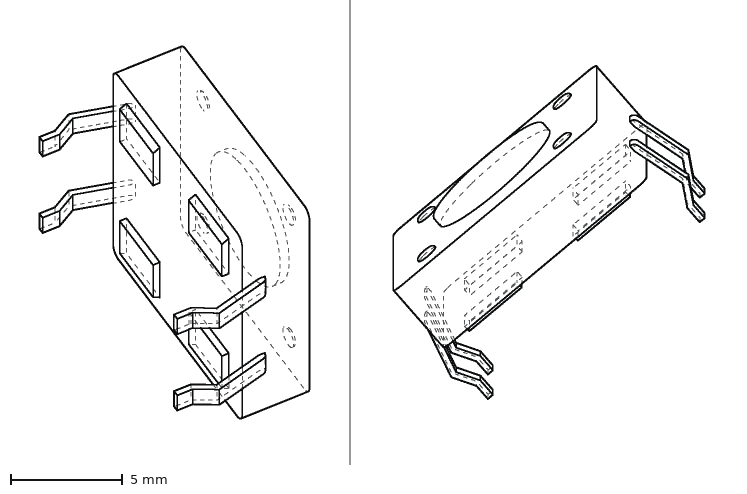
import cadquery as cq
import math


HOUSING_SIDE = 12.0
HOUSING_DEPTH = 3.45
CORNER_RADIUS = 0.5
HALF_SIDE = HOUSING_SIDE / 2

PAD_WIDTH = 3.1
PAD_HEIGHT = 2.3
PAD_THICKNESS = 0.35
PAD_SLOPE_RUN = 0.2
PAD_CENTER_X = 3.2
PAD_INNER_Z = 2.6
PAD_OUTER_Z = PAD_INNER_Z + PAD_HEIGHT

RIVET_SPACING = 8.0
RIVET_DIAMETER = 1.0
RIVET_HEIGHT = 0.15

BUTTON_DIAMETER = 6.5
BUTTON_HEIGHT = 0.5
BUTTON_EDGE_RADIUS = 0.1

LEG_THICKNESS = 0.3
LEG_WIDTH = 1.0
LEG_SPACING_Z = 5.0
LEG_SPAN_X = 14.0
LEG_TIP_SPACING_X = 12.5
LEG_END_Y = -3.55
LEG_ROOT_Y = 0.85
UPPER_TILT = math.radians(15)
LOWER_TILT = math.radians(-30)
TIP_TILT = 0.0


def make_pad(side_x):
    """Pad in the +Z half whose outer edge slopes in towards its front face."""
    profile = [
        (0, PAD_INNER_Z),
        (-PAD_THICKNESS, PAD_INNER_Z),
        (-PAD_THICKNESS, PAD_OUTER_Z - PAD_SLOPE_RUN),
        (0, PAD_OUTER_Z),
    ]
    return (
        cq.Workplane("YZ", origin=(side_x * PAD_CENTER_X, 0, 0))
        .polyline(profile)
        .close()
        .extrude(PAD_WIDTH / 2, both=True)
    )


def make_rivet(center_x, center_z):
    """Rivet head with a flat top and a full-height rounded edge, turned about the Y direction."""
    top_radius = RIVET_DIAMETER / 2 - RIVET_HEIGHT
    edge_middle = (
        top_radius + RIVET_HEIGHT * math.cos(math.pi / 4),
        RIVET_HEIGHT * math.sin(math.pi / 4),
    )
    return (
        cq.Workplane("XY", origin=(center_x, HOUSING_DEPTH, center_z))
        .lineTo(RIVET_DIAMETER / 2, 0)
        .threePointArc(edge_middle, (top_radius, RIVET_HEIGHT))
        .lineTo(0, RIVET_HEIGHT)
        .close()
        .revolve(360, (0, 0), (0, 1))
    )


def make_housing():
    """Rounded square block with its pads and rivet heads."""
    housing = (
        cq.Workplane("XZ")
        .rect(HOUSING_SIDE, HOUSING_SIDE)
        .extrude(-HOUSING_DEPTH)
        .edges("|Y")
        .fillet(CORNER_RADIUS)
    )
    for side_x in (-1, 1):
        pad = make_pad(side_x)
        housing = housing.union(pad).union(pad.mirror("XY"))
        for side_z in (-1, 1):
            rivet = make_rivet(side_x * RIVET_SPACING / 2, side_z * RIVET_SPACING / 2)
            housing = housing.union(rivet)
    return housing


def make_button():
    """Low round button with a softened rim, standing on the housing."""
    return (
        cq.Workplane("XZ", origin=(0, HOUSING_DEPTH, 0))
        .circle(BUTTON_DIAMETER / 2)
        .extrude(-BUTTON_HEIGHT)
        .faces(">Y")
        .edges()
        .fillet(BUTTON_EDGE_RADIUS)
    )


def inner_corner(outer, tilt_before, tilt_after):
    """Inside corner of a bend, one sheet thickness in from its outside corner."""
    direction = (tilt_before + tilt_after) / 2
    reach = LEG_THICKNESS / math.cos((tilt_before - tilt_after) / 2)
    return (outer[0] - reach * math.cos(direction), outer[1] - reach * math.sin(direction))


def around_root(angle):
    """Point of the rounded outer shoulder, which is centred on the leg root at the housing wall."""
    return (HALF_SIDE + LEG_THICKNESS * math.cos(angle), LEG_ROOT_Y + LEG_THICKNESS * math.sin(angle))


def make_leg(center_z):
    """Leg on the +X side: a shoulder, an outward run, an inward run and a straight tip."""
    shoulder_top = around_root(math.pi / 2)
    shoulder_middle = around_root((math.pi / 2 + UPPER_TILT) / 2)
    shoulder_end = around_root(UPPER_TILT)

    knee_x = LEG_SPAN_X / 2
    knee = (knee_x, shoulder_end[1] - (knee_x - shoulder_end[0]) / math.tan(UPPER_TILT))

    tip_x = (LEG_TIP_SPACING_X + LEG_THICKNESS) / 2
    ankle = (tip_x, knee[1] - (tip_x - knee_x) / math.tan(LOWER_TILT))

    return (
        cq.Workplane("XY", origin=(0, 0, center_z))
        .moveTo(HALF_SIDE, LEG_ROOT_Y)
        .lineTo(*shoulder_top)
        .threePointArc(shoulder_middle, shoulder_end)
        .lineTo(*knee)
        .lineTo(*ankle)
        .lineTo(tip_x, LEG_END_Y)
        .lineTo(tip_x - LEG_THICKNESS, LEG_END_Y)
        .lineTo(*inner_corner(ankle, LOWER_TILT, TIP_TILT))
        .lineTo(*inner_corner(knee, UPPER_TILT, LOWER_TILT))
        .close()
        .extrude(LEG_WIDTH / 2, both=True)
    )


housing = make_housing()
button = make_button()

legs = []
for center_z in (-LEG_SPACING_Z / 2, LEG_SPACING_Z / 2):
    right_leg = make_leg(center_z)
    left_leg = right_leg.mirror("YZ")
    legs += [right_leg.val(), left_leg.val()]

result = cq.Compound.makeCompound([housing.val(), button.val(), *legs])